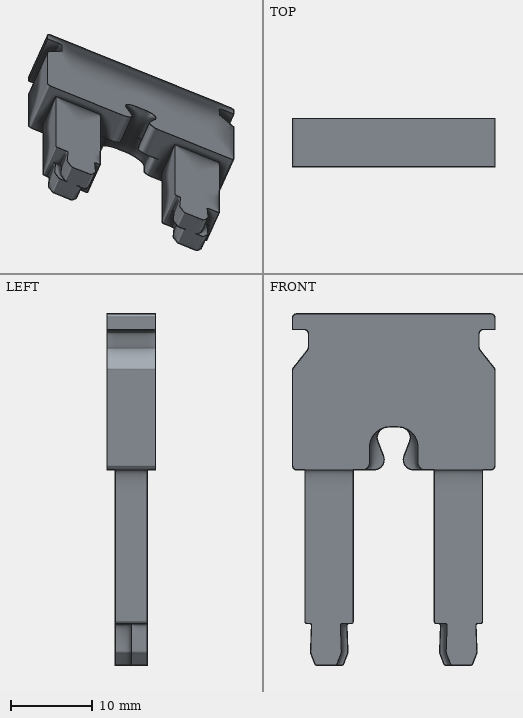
import cadquery as cq
import math

total_height = 43.4
housing_width = 25.0
housing_depth = 6.0
housing_height = 19.25
edge_radius = 0.5

lip_height = 1.95
groove_depth = 1.95
slope_start_drop = 4.35
slope_end_drop = 6.8

notch_width = 6.0
notch_height = 5.3
notch_crown_radius = 2.5
notch_mouth_radius = 0.85
notch_front_depth = 2.4

keyhole_width = 4.1
throat_width = 2.35
keyhole_radius = 1.25

leg_spacing = 15.95
leg_width = 6.0
leg_depth = 4.0
leg_corner_radius = 0.25

tine_length = 5.15
tine_width = 3.8
tine_margin = 0.7
tine_shift = 0.82
tine_flare = 0.15
tine_taper_height = 1.55
tine_taper_inset = 0.6
tine_flank_radius = 1.17
tine_tip_radius = 0.35

housing_bottom = total_height - housing_height
front_face = -housing_depth / 2


def extrude_in_y(outline, y_start, y_end):
    """Extrude an XZ outline between two Y positions (the XZ plane's normal is -Y)."""
    return outline.extrude(y_start - y_end).translate((0, y_start, 0))


def round_edge(body, midpoint, radius):
    """Fillet the edge along Y whose midpoint is nearest to the given point."""
    nearest = cq.selectors.NearestToPointSelector(midpoint)
    return body.edges("|Y").edges(nearest).fillet(radius)


def point_on_circle(center, radius, angle):
    return (center[0] + radius * math.cos(angle), center[1] + radius * math.sin(angle))


def make_plate():
    half = housing_width / 2
    neck = half - groove_depth
    lip_bottom = total_height - lip_height
    slope_start = total_height - slope_start_drop
    slope_end = total_height - slope_end_drop
    right_side = [
        (half, housing_bottom),
        (half, slope_end),
        (neck, slope_start),
        (neck, lip_bottom),
        (half, lip_bottom),
        (half, total_height),
    ]
    left_side = [(-x, z) for x, z in reversed(right_side)]
    outline = cq.Workplane("XZ").polyline(right_side + left_side).close()
    plate = extrude_in_y(outline, front_face, -front_face)

    for x, z in right_side:
        if (x, z) == (half, lip_bottom):
            continue
        for side in (-1, 1):
            plate = round_edge(plate, (side * x, 0, z), edge_radius)
    return plate


def make_arched_notch():
    return (
        cq.Workplane("XY")
        .box(notch_width, notch_front_depth, notch_height, centered=(True, False, False))
        .translate((0, front_face, housing_bottom))
        .edges("|Y and >Z")
        .fillet(notch_crown_radius)
    )


def make_keyhole():
    """Tongue opening: half outline from the bottom up, joined with its mirror image."""
    r = keyhole_radius
    tongue_center = (throat_width / 2 + r, housing_bottom + r)
    arch_center = (notch_width / 2 - notch_crown_radius, housing_bottom + notch_height - notch_crown_radius)
    bulge_x = keyhole_width / 2 - r
    bulge_rise = math.sqrt((notch_crown_radius - r) ** 2 - (bulge_x - arch_center[0]) ** 2)
    bulge_center = (bulge_x, arch_center[1] + bulge_rise)
    crown_angle = math.atan2(bulge_rise, bulge_x - arch_center[0])
    dx = bulge_center[0] - tongue_center[0]
    dz = bulge_center[1] - tongue_center[1]
    flank_angle = math.atan2(dz, dx) + math.acos(2 * r / math.hypot(dx, dz))
    bulge_angle = flank_angle - math.pi

    half = (
        cq.Workplane("XZ")
        .moveTo(0, housing_bottom)
        .lineTo(tongue_center[0], housing_bottom)
        .threePointArc(
            point_on_circle(tongue_center, r, (flank_angle + 1.5 * math.pi) / 2),
            point_on_circle(tongue_center, r, flank_angle),
        )
        .lineTo(*point_on_circle(bulge_center, r, bulge_angle))
        .threePointArc(
            point_on_circle(bulge_center, r, (bulge_angle + crown_angle) / 2),
            point_on_circle(bulge_center, r, crown_angle),
        )
        .threePointArc(
            point_on_circle(arch_center, notch_crown_radius, (crown_angle + math.pi / 2) / 2),
            point_on_circle(arch_center, notch_crown_radius, math.pi / 2),
        )
        .lineTo(0, housing_bottom + notch_height)
        .close()
    )
    half = extrude_in_y(half, front_face, -front_face)
    return half.union(half.mirror("YZ"))


def make_housing():
    housing = make_plate().cut(make_arched_notch())
    notch_middle_y = front_face + notch_front_depth / 2
    for side in (-1, 1):
        mouth_corner = (side * notch_width / 2, notch_middle_y, housing_bottom)
        housing = round_edge(housing, mouth_corner, notch_mouth_radius)
    return housing.cut(make_keyhole())


def make_leg_half(tine_x, y_start):
    """One half of the left leg's thickness: the shank with a single tine below it."""
    shank_left = -(leg_spacing + leg_width) / 2
    shank_right = shank_left + leg_width
    tine_right = tine_x + tine_width
    shoulders = [(shank_left, tine_length), (shank_right, tine_length)]
    roots = [(tine_x + tine_flare, tine_length), (tine_right - tine_flare, tine_length)]
    flanks = [(tine_x, tine_taper_height), (tine_right, tine_taper_height)]
    tips = [(tine_x + tine_taper_inset, 0), (tine_right - tine_taper_inset, 0)]
    outline = cq.Workplane("XZ").polyline([
        (shank_left, housing_bottom),
        shoulders[0],
        roots[0],
        flanks[0],
        tips[0],
        tips[1],
        flanks[1],
        roots[1],
        shoulders[1],
        (shank_right, housing_bottom),
    ]).close()
    y_end = y_start + leg_depth / 2
    leg_half = extrude_in_y(outline, y_start, y_end)
    rounds = [
        (shoulders + roots, leg_corner_radius),
        (flanks, tine_flank_radius),
        (tips, tine_tip_radius),
    ]
    for corners, radius in rounds:
        for x, z in corners:
            leg_half = round_edge(leg_half, (x, (y_start + y_end) / 2, z), radius)
    return leg_half


def make_leg(side):
    """Left leg for side -1; its mirror image for side 1."""
    front_tine_x = -(leg_spacing + leg_width) / 2 + tine_margin
    front_half = make_leg_half(front_tine_x, -leg_depth / 2)
    rear_half = make_leg_half(front_tine_x + tine_shift, 0)
    left_leg = front_half.union(rear_half)
    return left_leg if side < 0 else left_leg.mirror("YZ")


housing = make_housing()
legs = [make_leg(side) for side in (-1, 1)]

result = cq.Compound.makeCompound([housing.val(), *[leg.val() for leg in legs]])